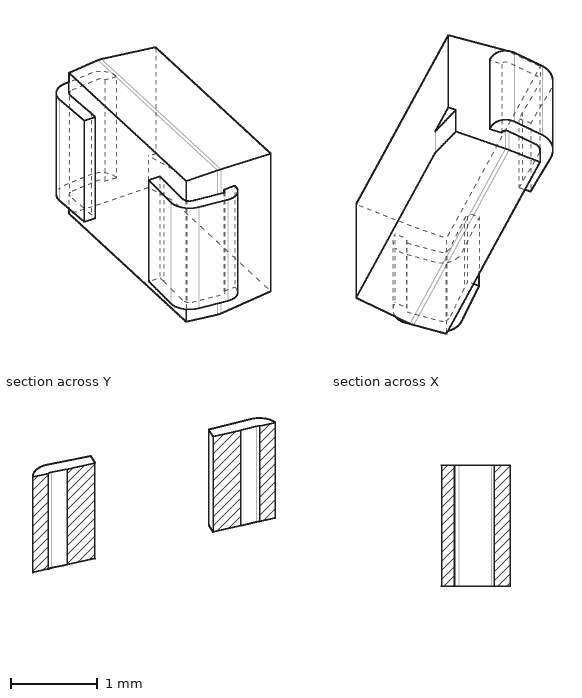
import cadquery as cq
import math

OVERALL_LENGTH = 3.1

BODY_LENGTH = 2.697
BODY_WIDTH = 2.0
BODY_HEIGHT = 1.153
BAND_BOTTOM = 0.405
BAND_TOP = 0.453
TOP_INSET = 0.045
BOTTOM_INSET = 0.025

NOTCH_WIDTH = 0.435
NOTCH_DEPTH = 0.105
NOTCH_LENGTH = 0.372

LEAD_WIDTH = 1.4
LEAD_THICKNESS = 0.152
LEAD_TOP = 0.645
LEAD_DROP = 0.167
UPPER_RADIUS = 0.198
LOWER_RADIUS = 0.248
LEG_ANGLE = math.radians(6)
FOOT_ANGLE = math.radians(2)
FOOT_END = -0.725
LEAD_EMBED = 0.155


def draft_block(start, end, start_inset, end_inset):
    """Loft between two rectangles, each inset from the widest body section."""
    def section(inset):
        return BODY_LENGTH - 2 * inset, BODY_WIDTH - 2 * inset

    return (
        cq.Workplane("XZ", origin=(0, start, 0))
        .rect(*section(start_inset))
        .workplane(offset=start - end)
        .rect(*section(end_inset))
        .loft(ruled=True)
    )


def make_body():
    lower = draft_block(0, BAND_BOTTOM, BOTTOM_INSET, 0)
    band = draft_block(BAND_BOTTOM, BAND_TOP, 0, 0)
    upper = draft_block(BAND_TOP, BODY_HEIGHT, 0, TOP_INSET)
    return lower.union(band).union(upper)


def make_notch():
    """Wedge that is deepest at the -X end and runs out at the top face."""
    end_x = -BODY_LENGTH / 2
    floor_start = BODY_HEIGHT - NOTCH_DEPTH
    return (
        cq.Workplane("XY", origin=(0, 0, -BODY_WIDTH / 2))
        .moveTo(end_x, floor_start)
        .lineTo(end_x + TOP_INSET + NOTCH_LENGTH, BODY_HEIGHT)
        .lineTo(end_x, BODY_HEIGHT)
        .close()
        .extrude(TOP_INSET + NOTCH_WIDTH)
    )


def polar(center, radius, angle):
    return center[0] + radius * math.cos(angle), center[1] + radius * math.sin(angle)


def make_lead():
    """Strip of constant thickness: top stub, bend, leaning leg, bend, foot."""
    top_angle = math.pi / 2
    leg_normal = math.pi + LEG_ANGLE
    foot_normal = 1.5 * math.pi + FOOT_ANGLE
    upper = (-OVERALL_LENGTH / 2 + UPPER_RADIUS, LEAD_TOP - UPPER_RADIUS)

    lower_y = LOWER_RADIUS - LEAD_DROP
    lower_x = (
        upper[0]
        + (upper[1] - lower_y) * math.tan(LEG_ANGLE)
        + (LOWER_RADIUS - UPPER_RADIUS) / math.cos(LEG_ANGLE)
    )
    lower = (lower_x, lower_y)
    stub_end = -BODY_LENGTH / 2 + LEAD_EMBED
    upper_middle = (top_angle + leg_normal) / 2
    lower_middle = (leg_normal + foot_normal) / 2
    inner_upper = UPPER_RADIUS - LEAD_THICKNESS
    inner_lower = LOWER_RADIUS - LEAD_THICKNESS

    def foot_tip(radius):
        x, y = polar(lower, radius, foot_normal)
        return FOOT_END, y + (FOOT_END - x) * math.tan(FOOT_ANGLE)

    return (
        cq.Workplane("XY", origin=(0, 0, -LEAD_WIDTH / 2))
        .moveTo(stub_end, LEAD_TOP)
        .lineTo(*polar(upper, UPPER_RADIUS, top_angle))
        .threePointArc(polar(upper, UPPER_RADIUS, upper_middle), polar(upper, UPPER_RADIUS, leg_normal))
        .lineTo(*polar(lower, LOWER_RADIUS, leg_normal))
        .threePointArc(polar(lower, LOWER_RADIUS, lower_middle), polar(lower, LOWER_RADIUS, foot_normal))
        .lineTo(*foot_tip(LOWER_RADIUS))
        .lineTo(*foot_tip(inner_lower))
        .lineTo(*polar(lower, inner_lower, foot_normal))
        .threePointArc(polar(lower, inner_lower, lower_middle), polar(lower, inner_lower, leg_normal))
        .lineTo(*polar(upper, inner_upper, leg_normal))
        .threePointArc(polar(upper, inner_upper, upper_middle), polar(upper, inner_upper, top_angle))
        .lineTo(stub_end, LEAD_TOP - LEAD_THICKNESS)
        .close()
        .extrude(LEAD_WIDTH)
    )


left_lead = make_lead()
right_lead = left_lead.mirror("YZ")
result = make_body().cut(make_notch()).union(left_lead).union(right_lead)